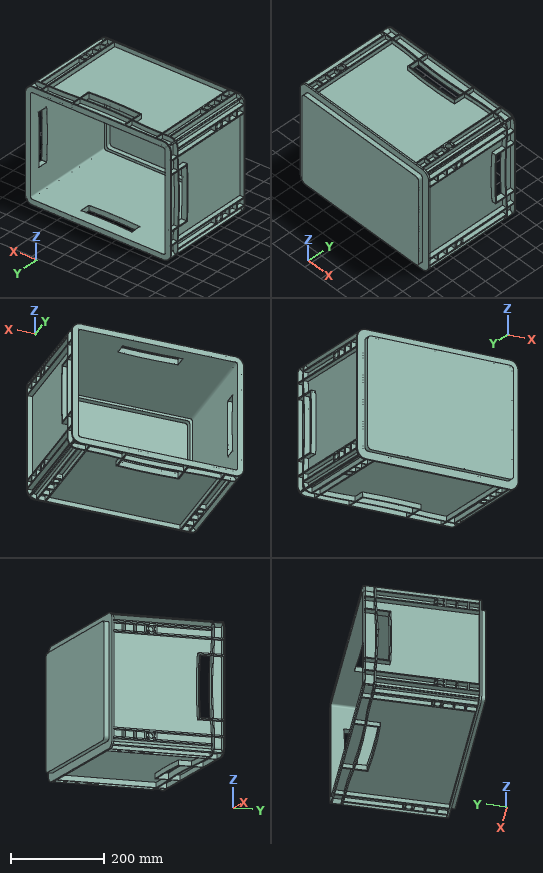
import cadquery as cq
import math

WIDTH = 399.0
HEIGHT = 299.0
LENGTH = 270.0
CORNER_RADIUS = 20.0

WALL = 3.0
RIB = 3.0
RIB_HEIGHT = 11.5
INNER_INSET = RIB_HEIGHT + WALL

FOOT_HEIGHT = 12.0
FOOT_INSET = 18.0
FOOT_RADIUS = 9.5
FLANGE = 4.5
FLANGE_TOP = FOOT_HEIGHT + FLANGE

LEDGE_DEPTH = 23.5
BOW_RADIUS = 1077.3
LEDGE_Y = LENGTH - LEDGE_DEPTH
WIDE_BOW_HALF = 88.5
WIDE_FLAT_START = 132.5
NARROW_BOW_HALF = 85.0
NARROW_FLAT_START = 110.0

GRIP_WIDTH = 139.5
GRIP_HEIGHT = 27.0

OUTER_RIB_INSET = 20.7
INNER_RIB_INSET = 40.5
CHANNEL_START = OUTER_RIB_INSET + RIB
CHANNEL_WIDTH = INNER_RIB_INSET - CHANNEL_START

CELL_LENGTH = 22.7
CELL_COUNT = 3
SOCKET_CELL_LENGTH = 18.5
SOCKET_OUTER_RADIUS = 10.0
SOCKET_BORE_RADIUS = 7.0


def rounded_block(inset, radius, y_start, y_end):
    """Block along Y with the outer outline moved in by inset and rounded corners."""
    block = cq.Workplane("XY").box(WIDTH - 2 * inset, y_end - y_start, HEIGHT - 2 * inset)
    return block.edges("|Y").fillet(radius).translate((0, (y_start + y_end) / 2, 0))


def bar(u_start, u_end, y_start, y_end):
    """Rib of a side: a rectangle as tall as the rib height plus the wall."""
    size = (u_end - u_start, y_end - y_start, INNER_INSET)
    return cq.Workplane("XY").box(*size, centered=False).translate((u_start, y_start, 0))


def bow_rise(u):
    """Rise of the bow at offset u above its lowest point in the middle."""
    return BOW_RADIUS - math.sqrt(BOW_RADIUS**2 - u**2)


def blend_arc(bow_half, flat_start):
    """Radius and swept angle of the reverse arc joining the bow to a flat end."""
    angle = math.asin(bow_half / BOW_RADIUS)
    return (flat_start - bow_half) / math.sin(angle), angle


def ledge_low_point(bow_half, flat_start):
    """Y of the ledge's upper face in the middle of a side."""
    blend_radius, end_angle = blend_arc(bow_half, flat_start)
    return LEDGE_Y - blend_radius * (1 - math.cos(end_angle)) - bow_rise(bow_half)


def area_below_ledge_line(half_width, bow_half, flat_start, shift, y_bottom):
    """Rib-high plate from y_bottom up to the bowed ledge line moved down by shift."""
    low = ledge_low_point(bow_half, flat_start) - shift
    flat = LEDGE_Y - shift
    bow_end = low + bow_rise(bow_half)
    blend_radius, end_angle = blend_arc(bow_half, flat_start)
    mid_u = flat_start - blend_radius * math.sin(end_angle / 2)
    mid_y = flat - blend_radius * (1 - math.cos(end_angle / 2))
    return (
        cq.Workplane("XY")
        .moveTo(-half_width, y_bottom)
        .lineTo(-half_width, flat)
        .lineTo(-flat_start, flat)
        .threePointArc((-mid_u, mid_y), (-bow_half, bow_end))
        .threePointArc((0, low), (bow_half, bow_end))
        .threePointArc((mid_u, mid_y), (flat_start, flat))
        .lineTo(half_width, flat)
        .lineTo(half_width, y_bottom)
        .close()
        .extrude(INNER_INSET)
    )


def bowed_plate(half_width, y_low_bottom, y_low_top):
    """Plate whose lower and upper edges follow the bow; heights are given in the middle."""
    rise = bow_rise(half_width)
    return (
        cq.Workplane("XY")
        .moveTo(-half_width, y_low_bottom + rise)
        .threePointArc((0, y_low_bottom), (half_width, y_low_bottom + rise))
        .lineTo(half_width, y_low_top + rise)
        .threePointArc((0, y_low_top), (-half_width, y_low_top + rise))
        .close()
        .extrude(INNER_INSET)
    )


def ledge(half_width, bow_half, flat_start):
    """Bowed ledge one rib thick, across the whole side."""
    upper = area_below_ledge_line(half_width, bow_half, flat_start, 0, FLANGE_TOP)
    return upper.cut(area_below_ledge_line(half_width, bow_half, flat_start, RIB, FLANGE_TOP))


def socket(u_center, y_center):
    """Round socket filling its cell except for the four corners."""
    ring = (
        cq.Workplane("XY")
        .center(u_center, y_center)
        .circle(SOCKET_OUTER_RADIUS)
        .circle(SOCKET_BORE_RADIUS)
        .extrude(INNER_INSET)
    )
    half_u = (CHANNEL_WIDTH + RIB) / 2
    half_y = (SOCKET_CELL_LENGTH + RIB) / 2
    cell = bar(u_center - half_u, u_center + half_u, y_center - half_y, y_center + half_y)
    return ring.intersect(cell)


def corner_ribs(half_width):
    """Lengthwise ribs, cross ribs and socket beside the left edge of a side."""
    channel_start = CHANNEL_START - half_width
    channel_end = channel_start + CHANNEL_WIDTH
    rib_top = LEDGE_Y - RIB / 2
    ribs = bar(channel_start - RIB, channel_start, FOOT_HEIGHT, rib_top)
    ribs = ribs.union(bar(channel_end, channel_end + RIB, FOOT_HEIGHT, LENGTH))
    y = FLANGE_TOP
    for _ in range(CELL_COUNT):
        y += CELL_LENGTH
        ribs = ribs.union(bar(channel_start, channel_end, y, y + RIB))
        y += RIB
    ribs = ribs.union(socket(channel_start + CHANNEL_WIDTH / 2, y + SOCKET_CELL_LENGTH / 2))
    y += SOCKET_CELL_LENGTH
    return ribs.union(bar(channel_start, channel_end, y, y + RIB))


def side_ribs(half_width, bow_half, flat_start):
    """All raised ribs of one side, lying on the XY plane."""
    low = ledge_low_point(bow_half, flat_start) - RIB
    frame_half = GRIP_WIDTH / 2 + RIB
    left = corner_ribs(half_width)
    ribs = left.union(left.mirror("YZ"))
    ribs = ribs.union(ledge(half_width, bow_half, flat_start))
    ribs = ribs.union(bowed_plate(frame_half, low - GRIP_HEIGHT - RIB, low))
    for u in (-frame_half, GRIP_WIDTH / 2):
        ribs = ribs.union(bar(u, u + RIB, low, LENGTH))
    return ribs


def grip_opening(bow_half, flat_start):
    """Volume of the hand opening, right below the ledge."""
    low = ledge_low_point(bow_half, flat_start) - RIB
    return bowed_plate(GRIP_WIDTH / 2, low - GRIP_HEIGHT, low)


def place(shape, half_distance, angle):
    """Move a side lying on the XY plane out to its wall and turn it about Y."""
    moved = shape.translate((0, 0, half_distance - INNER_INSET))
    return moved.rotate((0, 0, 0), (0, 1, 0), angle)


def corner_fin(x_sign, z_sign):
    """Fin along a rounded corner, pointing out diagonally from the corner's axis."""
    fin = cq.Workplane("XY").box(CORNER_RADIUS, LENGTH - FOOT_HEIGHT, RIB, centered=(False, False, True))
    angle = math.degrees(math.atan2(-z_sign, x_sign))
    axis_x = x_sign * (WIDTH / 2 - CORNER_RADIUS)
    axis_z = z_sign * (HEIGHT / 2 - CORNER_RADIUS)
    return fin.rotate((0, 0, 0), (0, 1, 0), angle).translate((axis_x, FOOT_HEIGHT, axis_z))


wide_bow = (WIDE_BOW_HALF, WIDE_FLAT_START)
narrow_bow = (NARROW_BOW_HALF, NARROW_FLAT_START)
SIDES = (
    (WIDTH / 2, HEIGHT / 2, wide_bow, (0, 180)),
    (HEIGHT / 2, WIDTH / 2, narrow_bow, (90, 270)),
)

envelope = rounded_block(0, CORNER_RADIUS, FOOT_HEIGHT, LENGTH)
body = rounded_block(RIB_HEIGHT, CORNER_RADIUS - RIB_HEIGHT, FOOT_HEIGHT, LENGTH)
body = body.union(rounded_block(0, CORNER_RADIUS, FOOT_HEIGHT, FLANGE_TOP))
body = body.union(rounded_block(0, CORNER_RADIUS, LENGTH - RIB, LENGTH))

for half_width, half_distance, bow, turns in SIDES:
    ribs = side_ribs(half_width, *bow)
    for turn in turns:
        body = body.union(place(ribs, half_distance, turn).intersect(envelope))
for x_sign in (-1, 1):
    for z_sign in (-1, 1):
        body = body.union(corner_fin(x_sign, z_sign).intersect(envelope))

body = body.union(rounded_block(FOOT_INSET, FOOT_RADIUS, 0, FLANGE_TOP))
body = body.cut(
    rounded_block(INNER_INSET, CORNER_RADIUS - INNER_INSET, FOOT_HEIGHT + WALL, LENGTH)
)
body = body.cut(
    rounded_block(FOOT_INSET + WALL, FOOT_RADIUS - WALL, WALL, FLANGE_TOP)
)

for half_width, half_distance, bow, turns in SIDES:
    opening = grip_opening(*bow)
    for turn in turns:
        body = body.cut(place(opening, half_distance, turn))

result = body